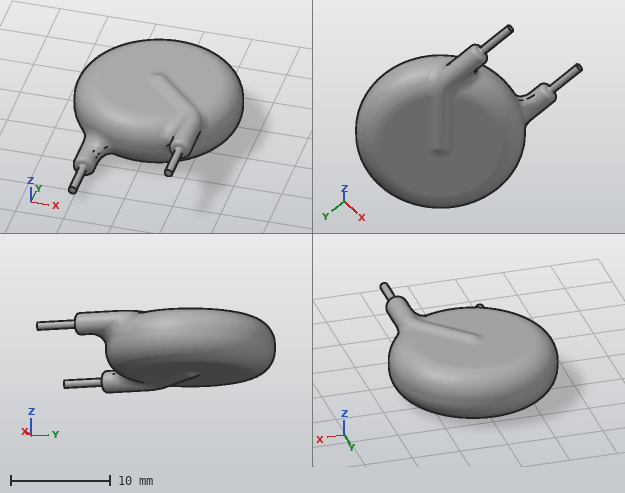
import cadquery as cq
import math

disc_diameter = 17.0
disc_thickness = 5.5
disc_edge_radius = 2.5

lead_offset = 5.0
lead_height = 2.0
coat_radius = 1.1
bend_radius = 2.5
coat_end_y = -10.5
coat_end_rounding = 0.5
blend_radius = 1.5

wire_radius = 0.4
wire_end_y = -14.5
wire_root_radius = 0.2

touch_tolerance = 1e-3

turn_angle = math.radians(45)
bend_setback = bend_radius * math.tan(turn_angle / 2)
corner_y = -lead_offset
bend_start = lead_offset - bend_setback * math.cos(turn_angle)
bend_end_y = corner_y - bend_setback
bend_middle_x = lead_offset - bend_radius * (1 - math.cos(turn_angle / 2))
bend_middle_y = bend_end_y + bend_radius * math.sin(turn_angle / 2)


def make_disc():
    blank = cq.Workplane("XY", origin=(0, 0, -disc_thickness / 2)).circle(disc_diameter / 2)
    return blank.extrude(disc_thickness).edges("%CIRCLE").fillet(disc_edge_radius)


def make_coating():
    """Coating of the upper lead, with a ball end at the disc centre."""
    axis = (
        cq.Workplane("XY", origin=(0, 0, lead_height))
        .lineTo(bend_start, -bend_start)
        .threePointArc((bend_middle_x, bend_middle_y), (lead_offset, bend_end_y))
        .lineTo(lead_offset, coat_end_y)
    )
    start_plane = cq.Plane(origin=(0, 0, lead_height), xDir=(0, 0, 1), normal=(1, -1, 0))
    run = cq.Workplane(start_plane).circle(coat_radius).sweep(axis)
    run = run.faces("<Y").edges().fillet(coat_end_rounding)
    ball = cq.Workplane("XY", origin=(0, 0, lead_height)).sphere(coat_radius)
    return run.union(ball)


def make_wire():
    """Bare wire of the upper lead, flared where it leaves the coating."""
    flare_start = (wire_radius + wire_root_radius, coat_end_y)
    flare_end = (wire_radius, coat_end_y - wire_root_radius)
    flare_sagitta = wire_root_radius * (1 - math.sqrt(0.5))
    flare_middle = (wire_radius + flare_sagitta, coat_end_y - flare_sagitta)
    half_section = (
        cq.Workplane("XY", origin=(lead_offset, 0, lead_height))
        .moveTo(0, bend_end_y)
        .lineTo(wire_radius, bend_end_y)
        .lineTo(wire_radius, coat_end_y)
        .lineTo(*flare_start)
        .threePointArc(flare_middle, flare_end)
        .lineTo(wire_radius, wire_end_y)
        .lineTo(0, wire_end_y)
        .close()
    )
    return half_section.revolve(360, (0, 0, 0), (0, 1, 0))


def turn_over(shape):
    """Half turn about Y, from the upper lead to the lower one."""
    return shape.rotate((0, 0, 0), (0, 1, 0), 180)


def lies_on(edge, solid):
    """True if the middle of the edge is on the surface of the solid."""
    middle = cq.Vertex.makeVertex(*edge.positionAt(0.5).toTuple())
    return solid.val().Shells()[0].distance(middle) < touch_tolerance


def blend_coatings(disc, coatings):
    """Join the coatings to the disc and fillet the seams between them."""
    body = disc
    for coating in coatings:
        body = body.union(coating)
    seams = [
        edge
        for edge in body.edges().vals()
        if lies_on(edge, disc) and any(lies_on(edge, coating) for coating in coatings)
    ]
    return body.newObject(seams).fillet(blend_radius)


upper_coating = make_coating()
upper_wire = make_wire()

body = blend_coatings(make_disc(), [upper_coating, turn_over(upper_coating)])
result = body.union(upper_wire).union(turn_over(upper_wire))